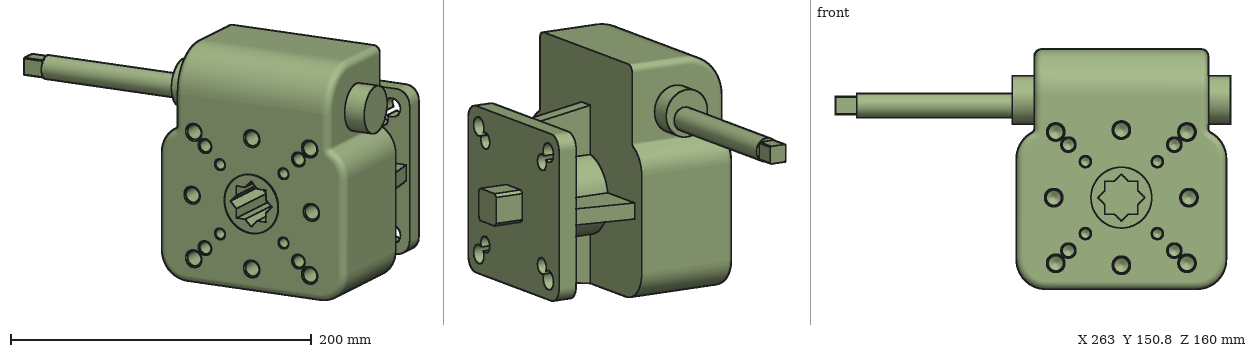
import cadquery as cq
import math


case_width = 140.0
case_depth = 72.5
case_bottom = -61.0
case_top = 45.8
case_corner = 20.0
worm_case_width = 116.0
worm_case_top = 99.0
worm_case_round = 30.0
edge_fillet = 5.0
shoulder_fillet = 3.0

boss_diameter = 32.3
boss_y = 39.0
boss_z = 65.0
bosses_span = 145.5
shaft_diameter = 16.3
shaft_y = 40.8
shaft_z = 61.3
overall_length = 263.0
shaft_square = 12.0
shaft_square_length = 14.2

hub_diameter = 40.5
hub_projection = 0.8
socket_square = 22.0
socket_depth = 42.0

hole_depth_ratio = 2.0
drill_tip_angle = 118
corner_holes = [(43.7, 10.3, 12.0), (35.2, 8.5, 10.0), (24.0, 6.8, 8.0)]
axis_hole_spacing = 45.0

neck_length = 43.5
neck_diameter = 55.8
rib_thickness = 11.0
rib_width_at_case = 122.0
rib_width_at_plate = 109.0
plate_width = 114.1
plate_thickness = 13.5
plate_corner = 10.0
plate_holes = [(43.7, 13.0), (35.5, 11.0)]
stub_square = 22.0
stub_round = 28.5
stub_length = 20.5

shaft_end = bosses_span / 2 - overall_length
plate_front = case_depth + neck_length
plate_back = plate_front + plate_thickness

selection_margin = 0.3

diagonals = [(sx, sz) for sx in (-1, 1) for sz in (-1, 1)]


def facing_back(y):
    """Workplane at the given Y with local axes -X and Z; extrusion runs toward +Y."""
    return cq.Workplane(cq.Plane(origin=(0, y, 0), xDir=(-1, 0, 0), normal=(0, 1, 0)))


def facing_right(x):
    """Workplane at the given X with local axes Y and Z; extrusion runs toward +X."""
    return cq.Workplane("YZ", origin=(x, 0, 0))


def make_housing():
    case = (
        facing_back(0)
        .center(0, (case_top + case_bottom) / 2)
        .rect(case_width, case_top - case_bottom)
        .extrude(case_depth)
        .edges("|Y")
        .fillet(case_corner)
    )
    arc_shift = worm_case_round * math.sqrt(0.5)
    worm_case = (
        facing_right(-worm_case_width / 2)
        .lineTo(0, worm_case_top - worm_case_round)
        .threePointArc(
            (worm_case_round - arc_shift, worm_case_top - worm_case_round + arc_shift),
            (worm_case_round, worm_case_top),
        )
        .lineTo(case_depth, worm_case_top)
        .lineTo(case_depth, 0)
        .close()
        .extrude(worm_case_width)
    )

    shoulder = cq.selectors.BoxSelector(
        (-worm_case_width / 2 - selection_margin, 0, case_top - case_corner),
        (worm_case_width / 2 + selection_margin, case_depth, case_top),
    )
    housing = case.union(worm_case)
    housing = housing.edges(shoulder).edges("|Y").fillet(shoulder_fillet)

    front_rim = housing.faces("<Y").edges("not >Z")
    upper_part = cq.selectors.BoxSelector(
        (-case_width, selection_margin, case_top),
        (case_width, case_depth - selection_margin, worm_case_top + selection_margin),
    )
    upper_rims = housing.edges(upper_part).edges("#X")
    return housing.newObject(front_rim.vals() + upper_rims.vals()).fillet(edge_fillet)


def make_input_shaft():
    bosses = (
        facing_right(-bosses_span / 2)
        .center(boss_y, boss_z)
        .circle(boss_diameter / 2)
        .extrude(bosses_span)
    )
    shaft = (
        facing_right(shaft_end)
        .center(shaft_y, shaft_z)
        .circle(shaft_diameter / 2)
        .extrude(-shaft_end)
    )
    flats = (
        facing_right(shaft_end)
        .center(shaft_y, shaft_z)
        .rect(shaft_diameter * 2, shaft_diameter * 2)
        .rect(shaft_square, shaft_square)
        .extrude(shaft_square_length)
    )
    return bosses.union(shaft.cut(flats))


def make_bracket():
    neck = facing_back(case_depth).circle(neck_diameter / 2).extrude(neck_length)
    rib = (
        cq.Workplane("XY", origin=(0, 0, -rib_thickness / 2))
        .moveTo(-rib_width_at_case / 2, case_depth)
        .lineTo(rib_width_at_case / 2, case_depth)
        .lineTo(rib_width_at_plate / 2, plate_front)
        .lineTo(-rib_width_at_plate / 2, plate_front)
        .close()
        .extrude(rib_thickness)
    )
    cross_rib = rib.rotate((0, 0, 0), (0, 1, 0), 90)
    plate = (
        facing_back(plate_front)
        .rect(plate_width, plate_width)
        .extrude(plate_thickness)
        .edges("|Y")
        .fillet(plate_corner)
    )
    for spacing, diameter in plate_holes:
        centres = [(sx * spacing, sz * spacing) for sx, sz in diagonals]
        drills = facing_back(plate_front).pushPoints(centres).circle(diameter / 2)
        plate = plate.cut(drills.extrude(plate_thickness))
    stub = (
        facing_back(plate_back)
        .rect(stub_square, stub_square)
        .extrude(stub_length)
        .intersect(facing_back(plate_back).circle(stub_round / 2).extrude(stub_length))
    )
    return neck.union(rib).union(cross_rib).union(plate).union(stub)


def make_hub():
    return facing_back(-hub_projection).circle(hub_diameter / 2).extrude(case_depth)


def make_socket():
    square = facing_back(-hub_projection).rect(socket_square, socket_square).extrude(socket_depth)
    return square.union(square.rotate((0, 0, 0), (0, 1, 0), 45))


def make_tapped_hole(x, z, core, rim):
    """Blind drilled hole with a conical tip and a 45 degree lead-in."""
    depth = hole_depth_ratio * rim
    tip = core / 2 / math.tan(math.radians(drill_tip_angle / 2))
    lead_in = (rim - core) / 2
    return (
        cq.Workplane("XY")
        .lineTo(rim / 2, 0)
        .lineTo(core / 2, lead_in)
        .lineTo(core / 2, depth)
        .lineTo(0, depth + tip)
        .close()
        .revolve(360, (0, 0, 0), (0, 1, 0))
        .translate((x, 0, z))
    )


result = make_housing().union(make_input_shaft()).union(make_bracket()).union(make_hub())
result = result.cut(make_socket())

for spacing, core, rim in corner_holes:
    for sx, sz in diagonals:
        result = result.cut(make_tapped_hole(sx * spacing, sz * spacing, core, rim))

_, axis_core, axis_rim = corner_holes[0]
for sx, sz in [(1, 0), (-1, 0), (0, 1), (0, -1)]:
    x = sx * axis_hole_spacing
    z = sz * axis_hole_spacing
    result = result.cut(make_tapped_hole(x, z, axis_core, axis_rim))